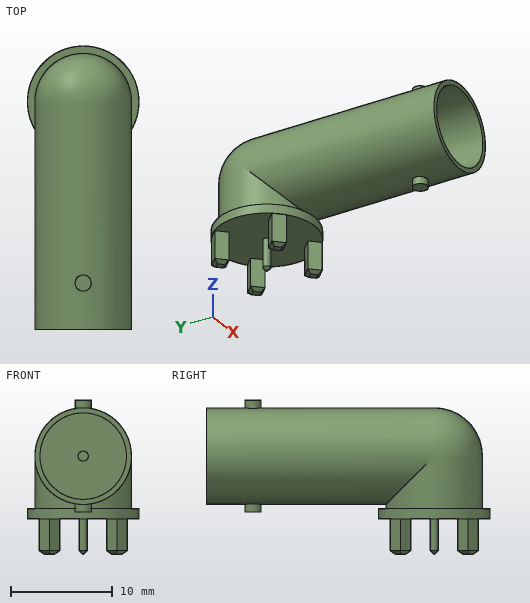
import cadquery as cq

flange_diameter = 11.0
flange_thickness = 1.0
overall_length = 27.9

body_diameter = 9.5
bore_diameter = 8.5
bore_depth = 15.0
barrel_height = 6.17
barrel_length = overall_length - flange_diameter / 2

contact_diameter = 1.0
contact_length = 7.5

lug_diameter = 1.6
lug_span = flange_diameter
lug_setback = 4.58

leg_length = 3.5
leg_side = 1.45
leg_offset = 3.32
tip_chamfer = 0.35
pin_diameter = 0.8


def cylinder_toward_mouth(diameter, start, length):
    """Cylinder on the barrel axis, from a distance along it toward the mouth."""
    plane = cq.Plane(origin=(0, -start, barrel_height), xDir=(1, 0, 0), normal=(0, -1, 0))
    return cq.Workplane(plane).circle(diameter / 2).extrude(length)


def make_elbow():
    """Flanged upright and horizontal barrel, joined under a spherical cap."""
    flange = cq.Workplane("XY").circle(flange_diameter / 2).extrude(flange_thickness)
    upright = cq.Workplane("XY").circle(body_diameter / 2).extrude(barrel_height)
    cap = cq.Workplane("XY").sphere(body_diameter / 2).translate((0, 0, barrel_height))
    barrel = cylinder_toward_mouth(body_diameter, 0, barrel_length)
    return flange.union(upright).union(cap).union(barrel)


def make_lugs():
    """Bayonet lugs above and below the barrel, as one post through it."""
    lug_y = lug_setback - barrel_length
    return (
        cq.Workplane("XY", origin=(0, lug_y, barrel_height))
        .circle(lug_diameter / 2)
        .extrude(lug_span / 2, both=True)
    )


def make_leg(x, y):
    """Square mounting leg with its corners facing X and Y and a chamfered tip."""
    leg = cq.Workplane("XY").rect(leg_side, leg_side).extrude(-leg_length)
    leg = leg.faces("<Z").chamfer(tip_chamfer)
    return leg.rotate((0, 0, 0), (0, 0, 1), 45).translate((x, y, 0))


def make_solder_pin():
    """Round central pin with a pointed tip."""
    pin = cq.Workplane("XY").circle(pin_diameter / 2).extrude(-leg_length)
    return pin.faces("<Z").chamfer(tip_chamfer)


result = make_elbow().union(make_lugs())

bore_start = barrel_length - bore_depth
result = result.cut(cylinder_toward_mouth(bore_diameter, bore_start, bore_depth))

result = result.union(cylinder_toward_mouth(contact_diameter, bore_start, contact_length))

for leg_x in (-leg_offset, leg_offset):
    for leg_y in (-leg_offset, leg_offset):
        result = result.union(make_leg(leg_x, leg_y))

result = result.union(make_solder_pin())